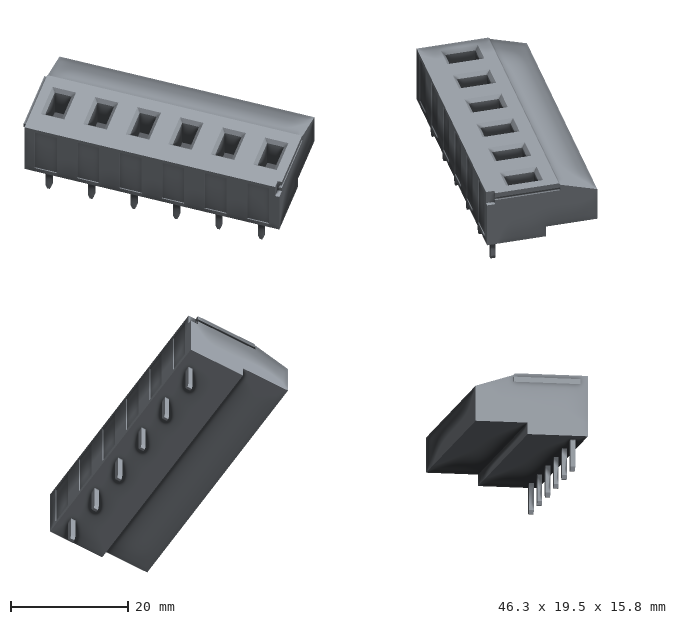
import cadquery as cq


OVERALL_LENGTH = 46.3
LENGTH = 45.7
DEPTH = 19.5
HEIGHT = 10.5
BACK_TOP_DROP = 2.4
SLOPE_TOP_DROP = 0.32
SLOPE_START = 12.95
BEVEL = 0.3
FOOT_DEPTH = 10.45
BACK_LIFT = 2.0

FLANGE = 1.45
RAIL_LENGTH = SLOPE_START - FLANGE
RAIL_REACH = OVERALL_LENGTH - LENGTH
RAIL_DROP = 1.15
RAIL_CENTRE_Z = HEIGHT - RAIL_DROP
RAIL_ROOT_HEIGHT = 0.55
RAIL_TIP_HEIGHT = 0.9
NOTCH_WIDTH = 0.75
NOTCH_DROP = 2.25

PANEL_WIDTH = 4.0
PANEL_HEIGHT = 9.0
PANEL_TOP_DROP = 0.7
PANEL_SINK = 0.2

WELL_WIDTH = 3.0
WELL_LENGTH = 5.33
WELL_BEVEL = 0.6
BEVEL_ANGLE = 45
WELL_DEPTH = 5.55
WELL_CENTRE_Y = 7.1

PIN_WIDTH = 1.0
PIN_THICKNESS = 0.85
PIN_LENGTH = 5.35
PIN_FRONT_Y = 1.57
PIN_TIP_LENGTH = 0.7
PIN_TIP_WIDTH = 0.45

RIGHT_END = LENGTH / 2
LEFT_END = -RIGHT_END

POLES = 6
PITCH = LENGTH / POLES
POLE_CENTRES = [(i - (POLES - 1) / 2) * PITCH for i in range(POLES)]


def housing():
    profile = [
        (0, 0),
        (FOOT_DEPTH, 0),
        (FOOT_DEPTH, BACK_LIFT),
        (DEPTH, BACK_LIFT),
        (DEPTH, HEIGHT - BACK_TOP_DROP),
        (SLOPE_START, HEIGHT - SLOPE_TOP_DROP),
        (SLOPE_START - BEVEL, HEIGHT),
        (0, HEIGHT),
    ]
    return cq.Workplane("YZ", origin=(LEFT_END, 0, 0)).polyline(profile).close().extrude(LENGTH)


def rail(root_x):
    """Dovetail bar reaching toward -X from the plane x = root_x."""
    tip_x = root_x - RAIL_REACH
    section = [
        (root_x, RAIL_CENTRE_Z - RAIL_ROOT_HEIGHT / 2),
        (root_x, RAIL_CENTRE_Z + RAIL_ROOT_HEIGHT / 2),
        (tip_x, RAIL_CENTRE_Z + RAIL_TIP_HEIGHT / 2),
        (tip_x, RAIL_CENTRE_Z - RAIL_TIP_HEIGHT / 2),
    ]
    return cq.Workplane("XZ", origin=(0, FLANGE, 0)).polyline(section).close().extrude(-RAIL_LENGTH)


def flange_notch():
    corner = (RIGHT_END - NOTCH_WIDTH, 0, HEIGHT - NOTCH_DROP)
    return cq.Workplane(origin=corner).box(NOTCH_WIDTH, FLANGE, NOTCH_DROP, centered=False)


def front_panel(x):
    bottom = HEIGHT - PANEL_TOP_DROP - PANEL_HEIGHT
    return cq.Workplane(origin=(x, 0, bottom)).box(
        PANEL_WIDTH, PANEL_SINK, PANEL_HEIGHT, centered=(True, False, False)
    )


def screw_well(x):
    """Straight rectangular well with an evenly bevelled mouth."""
    mouth = (
        cq.Workplane(origin=(x, WELL_CENTRE_Y, HEIGHT))
        .rect(WELL_WIDTH + 2 * WELL_BEVEL, WELL_LENGTH + 2 * WELL_BEVEL)
        .extrude(-WELL_BEVEL, taper=BEVEL_ANGLE)
    )
    shaft = (
        cq.Workplane(origin=(x, WELL_CENTRE_Y, HEIGHT))
        .rect(WELL_WIDTH, WELL_LENGTH)
        .extrude(-WELL_DEPTH)
    )
    return mouth.union(shaft)


def solder_pin(x):
    """Flat pin whose two narrow sides taper toward the end."""
    shoulder_z = PIN_TIP_LENGTH - PIN_LENGTH
    outline = [
        (-PIN_WIDTH / 2, 0),
        (-PIN_WIDTH / 2, shoulder_z),
        (-PIN_TIP_WIDTH / 2, -PIN_LENGTH),
        (PIN_TIP_WIDTH / 2, -PIN_LENGTH),
        (PIN_WIDTH / 2, shoulder_z),
        (PIN_WIDTH / 2, 0),
    ]
    return cq.Workplane("XZ", origin=(x, PIN_FRONT_Y, 0)).polyline(outline).close().extrude(-PIN_THICKNESS)


result = housing().union(rail(LEFT_END)).cut(rail(RIGHT_END)).cut(flange_notch())
for pole_x in POLE_CENTRES:
    result = result.cut(front_panel(pole_x)).cut(screw_well(pole_x)).union(solder_pin(pole_x))